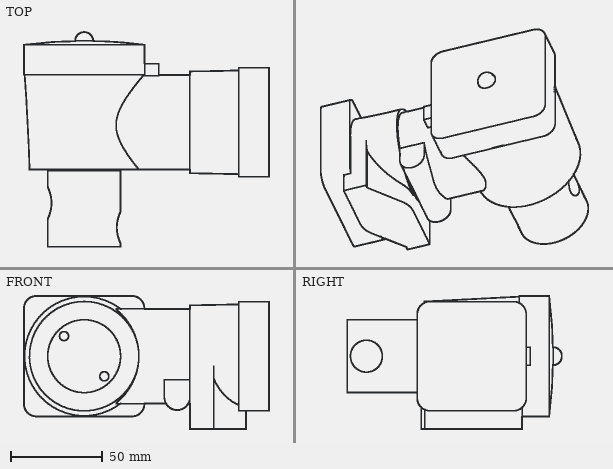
import cadquery as cq
import math


barrel_length = 52.0
barrel_front_y = -barrel_length / 2
barrel_back_y = barrel_length / 2
barrel_front_radius = 30.0
barrel_back_radius = 32.7
housing_flange_size = 66.3
housing_flange_thickness = 16.6
flange_back_y = barrel_back_y + housing_flange_thickness
corner_radius = 7.0
dome_height = 2.2
dome_apex_y = flange_back_y + dome_height
lug_reach = 7.8
lug_depth = 6.2
lug_overhang = 0.5
lug_height = 10.0

button_radius = 5.0
button_height = 4.8
button_cap_height = 4.2

spindle_diameter = 40.0
spindle_radius = spindle_diameter / 2
spindle_length = 42.0
spindle_gap = 0.4
spindle_start_y = barrel_front_y - spindle_gap
spindle_end_y = spindle_start_y - spindle_length
side_hole_diameter = 17.5
side_hole_depth = 10.0
left_hole_y = -44.3
right_hole_y = -57.8
end_hole_diameter = 5.0
end_hole_depth = 5.4
end_hole_offset = 11.0

arm_radius = barrel_length / 2
arm_end_x = 58.0
tab_half_width = 7.0
tab_bottom_z = -29.6
tab_half_length = 22.6

collar_length = 26.7
collar_start_radius = 28.0
collar_end_radius = 28.5
collar_flange_size = 60.0
collar_flange_thickness = 16.8
collar_flange_x = arm_end_x + collar_length
stop_width = 30.8
stop_leg_width = 12.9
stop_half_length = 27.7
stop_bend_radius = 13.5
stop_bend_angle = 41.0
stop_bottom_z = -40.0


def make_housing():
    barrel = cq.Workplane("XY").add(
        cq.Solid.makeCone(
            barrel_front_radius, barrel_back_radius, barrel_length,
            cq.Vector(0, barrel_front_y, 0), cq.Vector(0, 1, 0),
        )
    )
    flange = (
        cq.Workplane("XY")
        .box(housing_flange_size, housing_flange_thickness, housing_flange_size)
        .edges("|Y").fillet(corner_radius)
        .translate((0, barrel_back_y + housing_flange_thickness / 2, 0))
    )
    lug = (
        cq.Workplane("XY")
        .box(lug_reach, lug_depth + lug_overhang, lug_height, centered=(False, False, True))
        .translate((housing_flange_size / 2, barrel_back_y - lug_overhang, 0))
    )
    dome = spherical_cap(housing_flange_size / 2, dome_height, flange_back_y)
    return barrel.union(flange).union(dome).union(lug)


def spherical_cap(rim_radius, height, base_y):
    """Cap with a flat rim at base_y, bulging toward +Y around the Y axis."""
    apex_y = base_y + height
    sphere_radius = (rim_radius**2 + height**2) / (2 * height)
    half_rim = rim_radius / 2
    half_drop = sphere_radius - math.sqrt(sphere_radius**2 - half_rim**2)
    return (
        cq.Workplane("XY")
        .moveTo(0, base_y)
        .lineTo(rim_radius, base_y)
        .threePointArc((half_rim, apex_y - half_drop), (0, apex_y))
        .close()
        .revolve(360, (0, 0, 0), (0, 1, 0))
    )


def make_button(housing):
    """Round button whose foot follows the dome."""
    cap_base_y = dome_apex_y + button_height - button_cap_height
    stem = cylinder_along_y(button_radius, flange_back_y, cap_base_y)
    cap = spherical_cap(button_radius, button_cap_height, cap_base_y)
    return stem.union(cap).cut(housing)


def cylinder_along_y(radius, start_y, end_y, x=0, z=0):
    return cq.Workplane("XY").add(
        cq.Solid.makeCylinder(radius, end_y - start_y, cq.Vector(x, start_y, z), cq.Vector(0, 1, 0))
    )


def make_spindle():
    spindle = cylinder_along_y(spindle_radius, spindle_end_y, spindle_start_y)
    for side, hole_y in ((-1, left_hole_y), (1, right_hole_y)):
        side_hole = cq.Solid.makeCylinder(
            side_hole_diameter / 2, side_hole_depth,
            cq.Vector(side * spindle_radius, hole_y, 0), cq.Vector(-side, 0, 0),
        )
        spindle = spindle.cut(cq.Workplane("XY").add(side_hole))
    for side in (-1, 1):
        end_hole = cylinder_along_y(
            end_hole_diameter / 2, spindle_end_y, spindle_end_y + end_hole_depth,
            x=side * end_hole_offset, z=-side * end_hole_offset,
        )
        spindle = spindle.cut(end_hole)
    return spindle


def make_arm(housing):
    """Tube whose inner end is shaped to the barrel, with the tab at its outer end."""
    tube = cq.Workplane("YZ").circle(arm_radius).extrude(arm_end_x)
    tab_centre_x = arm_end_x - tab_half_width
    tab_round_z = tab_bottom_z + tab_half_width
    tab = (
        cq.Workplane("XZ")
        .moveTo(tab_centre_x - tab_half_width, 0)
        .lineTo(tab_centre_x - tab_half_width, tab_round_z)
        .threePointArc((tab_centre_x, tab_bottom_z), (arm_end_x, tab_round_z))
        .lineTo(arm_end_x, 0)
        .close()
        .extrude(tab_half_length, both=True)
    )
    return tube.union(tab).cut(housing)


def make_collar():
    sleeve = cq.Workplane("XY").add(
        cq.Solid.makeCone(
            collar_start_radius, collar_end_radius, collar_length,
            cq.Vector(arm_end_x, 0, 0), cq.Vector(1, 0, 0),
        )
    )
    flange = (
        cq.Workplane("XY")
        .box(collar_flange_thickness, collar_flange_size, collar_flange_size)
        .edges("|X").fillet(corner_radius)
        .translate((collar_flange_x + collar_flange_thickness / 2, 0, 0))
    )
    return sleeve.union(flange).union(make_stop())


def make_stop():
    """Cranked bar: two offset straight legs joined by a slanted middle with rounded bends."""
    half_width = stop_width / 2
    angle = math.radians(stop_bend_angle)
    inner_x = half_width - stop_leg_width
    bend_end_x = half_width - stop_bend_radius * (1 - math.cos(angle))
    bend_end_y = stop_bend_radius * math.sin(angle)
    bend_mid_x = half_width - stop_bend_radius * (1 - math.cos(angle / 2))
    bend_mid_y = stop_bend_radius * math.sin(angle / 2)
    inner_y = bend_end_y + (bend_end_x + inner_x) / math.tan(angle)
    return (
        cq.Workplane("XY")
        .moveTo(-half_width, -stop_half_length)
        .lineTo(-half_width, 0)
        .threePointArc((-bend_mid_x, bend_mid_y), (-bend_end_x, bend_end_y))
        .lineTo(inner_x, inner_y)
        .lineTo(inner_x, stop_half_length)
        .lineTo(half_width, stop_half_length)
        .lineTo(half_width, 0)
        .threePointArc((bend_mid_x, -bend_mid_y), (bend_end_x, -bend_end_y))
        .lineTo(-inner_x, -inner_y)
        .lineTo(-inner_x, -stop_half_length)
        .close()
        .extrude(stop_bottom_z)
        .translate((arm_end_x + half_width, 0, 0))
    )


housing = make_housing()
button = make_button(housing)
spindle = make_spindle()
arm = make_arm(housing)
collar = make_collar()

result = cq.Compound.makeCompound(
    [housing.val(), button.val(), spindle.val(), arm.val(), collar.val()]
)